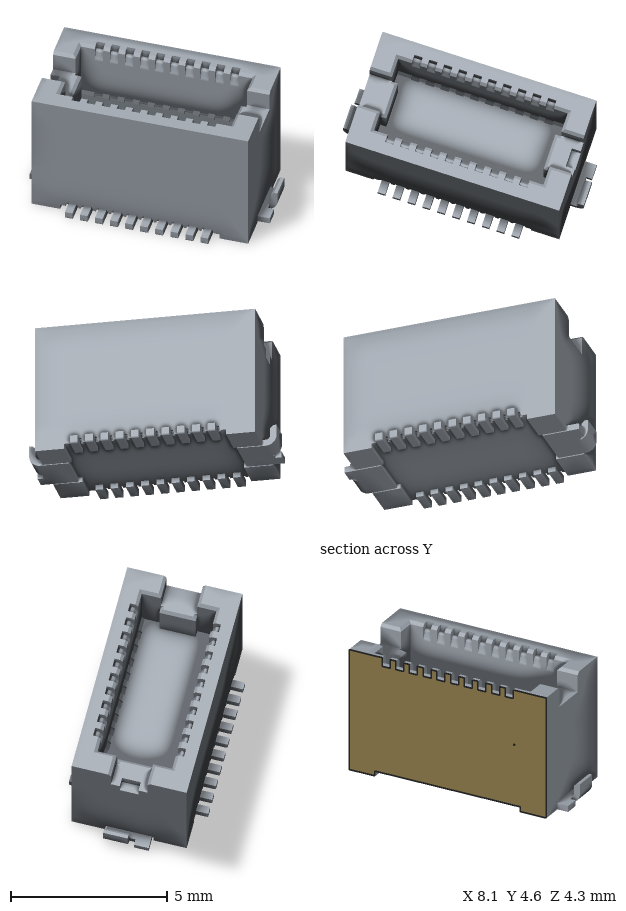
import cadquery as cq
import math

overall_length = 8.1
overall_width = 4.6
height = 4.3
body_length = 7.2
body_width = 3.8
edge_break = 0.1

cavity_length = 5.7
cavity_width = 2.46
cavity_floor = 2.3
floor_bevel = 0.1

notch_width = 1.2
notch_floor = 3.605
key_reach = 0.2
mark_width = 0.615
mark_length = 0.3
mark_depth = 0.3

contact_count = 10
row_length = 4.5
slot_width = 0.275
slot_depth = 0.27
contact_top = 4.075
contact_lean = math.radians(22)
face_run = 0.09
heel_setback = 0.012
tip_radius = 0.1
tip_back_run = 0.05
tip_back_drop = 0.16
foot_slot_reach = 0.13
foot_slot_drop = 0.05
foot_slope = math.radians(55)
foot_bend_radius = 0.1

lead_width = 0.25
lead_height = 0.26
lead_bend_radius = 0.065
lead_embed = 0.405
standoff = 0.17
relief_length = 5.3
hood_height = 0.32
hood_top_width = 0.31
hood_base_width = 0.42
hood_depth = 0.1

tab_width = 1.49
tab_thickness = 0.21
tab_reach = 3.99
tab_inner_end = 2.75
finger_height = 0.705
finger_edge = -0.065
bend_inner_radius = 0.145
slit_width = 0.195
slit_bottom = 3.8
tab_gap_width = 1.595
tab_gap_height = 0.27
tab_gap_depth = 0.53

half_body = body_length / 2
half_cavity = cavity_length / 2
wall_y = cavity_width / 2
pitch = row_length / (contact_count - 1)
contact_positions = [i * pitch - row_length / 2 for i in range(contact_count)]


def box(x0, x1, y0, y1, z0, z1):
    """Box between the given limits."""
    return cq.Workplane("XY").box(x1 - x0, y1 - y0, z1 - z0, centered=False).translate((x0, y0, z0))


def along_x(profile, length, x=0):
    """Extrude a closed YZ profile symmetrically about the given X."""
    return profile.extrude(length / 2, both=True).translate((x, 0, 0))


def both_sides(shape, plane):
    """The shape together with its mirror image."""
    return shape.union(shape.mirror(plane))


def cavity():
    """Cavity with a flared mouth and bevels along the floor."""
    section = (
        cq.Workplane("YZ")
        .moveTo(wall_y, height)
        .lineTo(wall_y, cavity_floor + floor_bevel)
        .lineTo(wall_y - floor_bevel, cavity_floor)
        .lineTo(floor_bevel - wall_y, cavity_floor)
        .lineTo(-wall_y, cavity_floor + floor_bevel)
        .lineTo(-wall_y, height)
        .close()
    )
    mouth = (
        cq.Workplane("XY", origin=(0, 0, height))
        .rect(cavity_length + 2 * edge_break, cavity_width + 2 * edge_break)
        .extrude(-edge_break, taper=45)
    )
    return along_x(section, cavity_length).union(mouth)


def end_notches():
    """Open notch through both end walls, bevelled at the top."""
    half = notch_width / 2
    section = (
        cq.Workplane("YZ")
        .moveTo(-half, notch_floor)
        .lineTo(half, notch_floor)
        .lineTo(half, height - edge_break)
        .lineTo(half + edge_break, height)
        .lineTo(-half - edge_break, height)
        .lineTo(-half, height - edge_break)
        .close()
    )
    return along_x(section, body_length)


def keys():
    """Bevelled blocks standing into the cavity below the notches."""
    key = box(
        half_cavity - key_reach, half_cavity,
        -notch_width / 2, notch_width / 2,
        cavity_floor, notch_floor,
    )
    key = key.faces(">Z").edges("<X or <Y or >Y").chamfer(edge_break)
    return both_sides(key, "YZ")


def orientation_mark():
    """Small pocket in the outer edge of the -X notch floor."""
    return box(
        -half_body, mark_length - half_body,
        -mark_width / 2, mark_width / 2,
        notch_floor - mark_depth, notch_floor,
    )


def underside_relief():
    """Clearance across the full width of the underside, between the end feet."""
    return box(
        -relief_length / 2, relief_length / 2,
        -body_width / 2, body_width / 2,
        0, standoff,
    )


def contact_slot(x):
    """Space above a contact tip in the +Y wall, shaped by the contact face."""
    heel_y = wall_y + heel_setback
    shoulder_y = heel_y + face_run
    shoulder_z = contact_top - tip_radius * (1 - math.sin(contact_lean))
    face_start = shoulder_z - face_run / math.tan(contact_lean)
    heel_radius = heel_setback / (1 - math.cos(contact_lean))
    heel_start = face_start - heel_radius * math.sin(contact_lean)
    crest_y = shoulder_y + tip_radius * math.cos(contact_lean)
    slot_back = wall_y + slot_depth
    land_end = slot_back - tip_back_run
    profile = (
        cq.Workplane("YZ")
        .moveTo(wall_y, heel_start)
        .radiusArc((heel_y, face_start), heel_radius)
        .lineTo(shoulder_y, shoulder_z)
        .radiusArc((crest_y, contact_top), tip_radius)
        .lineTo(land_end, contact_top)
        .lineTo(slot_back, contact_top - tip_back_drop)
        .lineTo(slot_back, height)
        .lineTo(wall_y, height)
        .close()
    )
    return along_x(profile, slot_width, x)


def foot_slot(x):
    """Slot in the floor where the contact dives below the floor."""
    top = cavity_floor + floor_bevel
    start = top - foot_slot_drop
    bend_y = wall_y - foot_bend_radius * (1 - math.sin(foot_slope))
    bend_z = start - foot_bend_radius * math.cos(foot_slope)
    inner_y = wall_y - foot_slot_reach
    inner_z = bend_z - (bend_y - inner_y) * math.tan(foot_slope)
    profile = (
        cq.Workplane("YZ")
        .moveTo(wall_y, top)
        .lineTo(wall_y, start)
        .radiusArc((bend_y, bend_z), -foot_bend_radius)
        .lineTo(inner_y, inner_z)
        .lineTo(inner_y, top)
        .close()
    )
    return along_x(profile, slot_width, x)


def lead_hood(x):
    """Trapezoidal relief in the outer wall around a lead."""
    return (
        cq.Workplane("XZ", origin=(x, body_width / 2, 0))
        .moveTo(-hood_base_width / 2, standoff)
        .lineTo(-hood_top_width / 2, hood_height)
        .lineTo(hood_top_width / 2, hood_height)
        .lineTo(hood_base_width / 2, standoff)
        .close()
        .extrude(hood_depth)
    )


def lead(x):
    """Solder lead leaving the +Y wall, rounded at the lower outer edge."""
    bar = box(
        x - lead_width / 2, x + lead_width / 2,
        body_width / 2 - lead_embed, overall_width / 2,
        0, lead_height,
    )
    return bar.edges(">Y and <Z").fillet(lead_bend_radius)


def tab_gaps():
    """Clearance around the tabs, joined by a shallower channel."""
    half = tab_gap_width / 2
    pocket = box(half_body - tab_gap_depth, half_body, -half, half, 0, tab_gap_height)
    channel = box(-half_body, half_body, -half, half, 0, standoff)
    return both_sides(pocket, "YZ").union(channel)


def hold_down():
    """Flat tab on the +X end with a finger bent upward beside it."""
    half = tab_width / 2
    tip = overall_length / 2
    inner_face = tip - tab_thickness
    outer_radius = bend_inner_radius + tab_thickness
    bend_start = tip - outer_radius
    slit_edge = finger_edge - slit_width
    plate = box(tab_inner_end, bend_start, -half, half, 0, tab_thickness)
    neck = box(bend_start, slit_bottom, slit_edge, finger_edge, 0, tab_thickness)
    foot = box(bend_start, tab_reach, -half, slit_edge, 0, tab_thickness)
    finger = (
        cq.Workplane("XZ", origin=(0, half, 0))
        .moveTo(bend_start, 0)
        .radiusArc((tip, outer_radius), -outer_radius)
        .lineTo(tip, finger_height)
        .lineTo(inner_face + edge_break, finger_height)
        .lineTo(inner_face, finger_height - edge_break)
        .lineTo(inner_face, outer_radius)
        .radiusArc((bend_start, tab_thickness), bend_inner_radius)
        .close()
        .extrude(half - finger_edge)
    )
    return plate.union(neck).union(foot).union(finger)


housing = box(-half_body, half_body, -body_width / 2, body_width / 2, 0, height)
housing = housing.cut(cavity()).cut(end_notches()).union(keys())
housing = housing.cut(orientation_mark()).cut(underside_relief()).cut(tab_gaps())

for x in contact_positions:
    for cutter in (contact_slot(x), foot_slot(x), lead_hood(x)):
        housing = housing.cut(both_sides(cutter, "XZ"))
for x in contact_positions:
    housing = housing.union(both_sides(lead(x), "XZ"))

result = housing.union(both_sides(hold_down(), "YZ"))